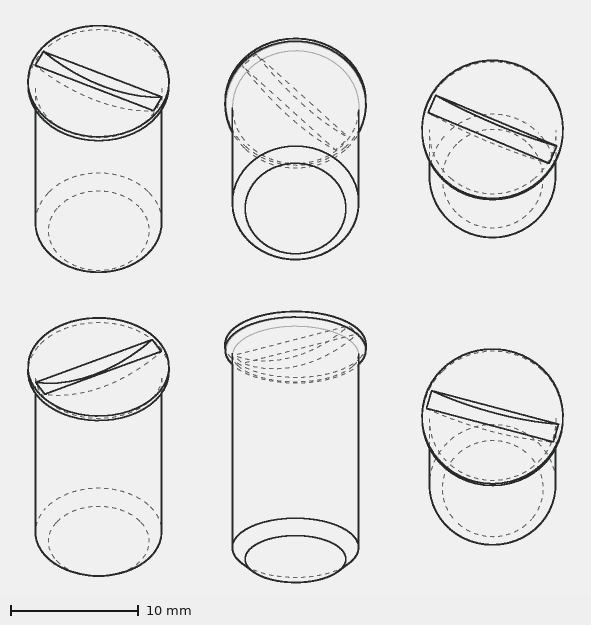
import cadquery as cq

total_height = 19.0
head_diameter = 11.04
body_diameter = 9.9
head_thickness = 0.5
neck_fillet_radius = 0.5
tip_chamfer = 1.0

slot_length = 10.3
slot_width = 1.5
slot_depth = 1.5

head_bottom = total_height - head_thickness


def make_pin():
    """Revolve the half profile: chamfered tip, body, filleted neck and flat head."""
    head_radius = head_diameter / 2
    body_radius = body_diameter / 2
    return (
        cq.Workplane("XZ")
        .lineTo(body_radius - tip_chamfer, 0)
        .lineTo(body_radius, tip_chamfer)
        .lineTo(body_radius, head_bottom - neck_fillet_radius)
        .tangentArcPoint((body_radius + neck_fillet_radius, head_bottom), relative=False)
        .lineTo(head_radius, head_bottom)
        .lineTo(head_radius, total_height)
        .lineTo(0, total_height)
        .close()
        .revolve(360, (0, 0, 0), (0, 1, 0))
    )


def make_slot():
    """Circular segment along X, centred across Y, deepest on the pin axis."""
    return (
        cq.Workplane("XZ")
        .moveTo(-slot_length / 2, total_height)
        .threePointArc((0, total_height - slot_depth), (slot_length / 2, total_height))
        .close()
        .extrude(slot_width / 2, both=True)
    )


result = make_pin().cut(make_slot())